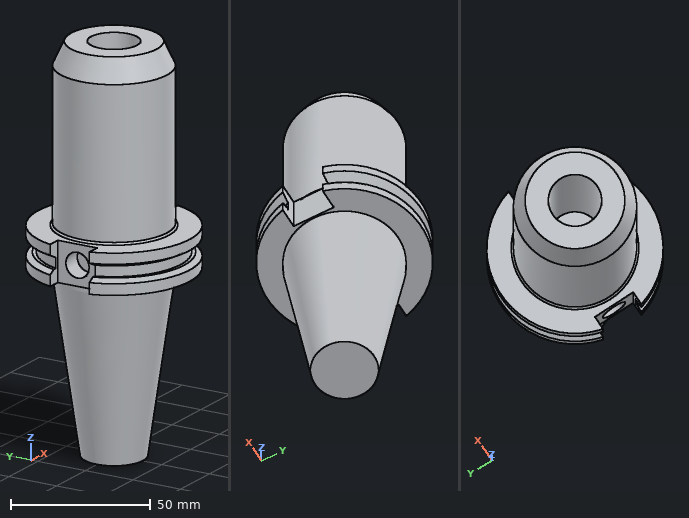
import cadquery as cq

total_length = 157.2
taper_length = 68.4
taper_small_radius = 12.3
body_radius = 22.2
nose_radius = 17.9
nose_height = 9.1

flange_radius = 31.7
flange_bottom = 71.3
flange_height = 16.0
flange_top = flange_bottom + flange_height
lower_lip_height = 4.4
upper_lip_height = 4.2
groove_root_radius = 28.0
upper_flank_height = 1.9
lower_flank_height = 1.4
groove_ledge_radius = 29.4
collar_chamfer = 0.8

slot_width = 16.5
left_slot_floor = 25.3
right_slot_floor = 22.6

bore_diameter = 19.2
bore_depth = 55.0
slot_hole_diameter = 9.7
slot_hole_depth = 7.9


def make_turned_body():
    """Revolve the half profile (radius, height) about the Z axis."""
    lower_lip_top = flange_bottom + lower_lip_height
    ledge_top = lower_lip_top + lower_flank_height
    upper_lip_bottom = flange_top - upper_lip_height
    profile = [
        (0, 0),
        (taper_small_radius, 0),
        (body_radius, taper_length),
        (body_radius, flange_bottom),
        (flange_radius, flange_bottom),
        (flange_radius, lower_lip_top),
        (groove_ledge_radius, ledge_top),
        (groove_root_radius, ledge_top),
        (groove_root_radius, upper_lip_bottom - upper_flank_height),
        (flange_radius, upper_lip_bottom),
        (flange_radius, flange_top),
        (body_radius + collar_chamfer, flange_top),
        (body_radius, flange_top + collar_chamfer),
        (body_radius, total_length - nose_height),
        (nose_radius, total_length),
        (0, total_length),
    ]
    return cq.Workplane("XZ").polyline(profile).close().revolve(360, (0, 0), (0, 1))


def make_drive_slot(side, floor):
    """Block that cuts a slot through the flange; side is -1 for -X, +1 for +X."""
    depth = flange_radius - floor
    return (
        cq.Workplane("XY")
        .box(depth, slot_width, flange_height, centered=(True, True, False))
        .translate((side * (floor + depth / 2), 0, flange_bottom))
    )


def make_bore():
    """Tool bore, open at the nose."""
    return (
        cq.Workplane("XY")
        .workplane(offset=total_length - bore_depth)
        .circle(bore_diameter / 2)
        .extrude(bore_depth)
    )


def make_slot_hole():
    """Blind hole running inward from the floor of the -X slot."""
    return (
        cq.Workplane("YZ")
        .workplane(offset=-left_slot_floor)
        .center(0, flange_bottom + flange_height / 2)
        .circle(slot_hole_diameter / 2)
        .extrude(slot_hole_depth)
    )


result = (
    make_turned_body()
    .cut(make_drive_slot(-1, left_slot_floor))
    .cut(make_drive_slot(1, right_slot_floor))
    .cut(make_bore())
    .cut(make_slot_hole())
)